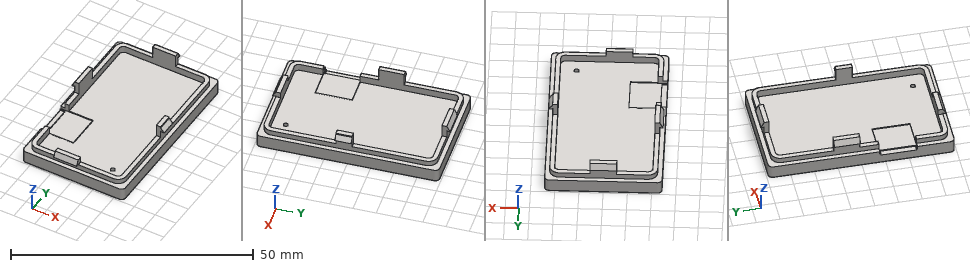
import cadquery as cq

LENGTH = 39.25
WIDTH = 24.25
HEIGHT = 6.95
BASE_HEIGHT = 2.9
BASE_CORNER_RADIUS = 1.0
FLOOR_Z = 2.47

RIM_MARGIN = 1.0
RIM_WALL = 1.02
RIM_HEIGHT = 1.18
RIM_CORNER_RADIUS = 2.0
RIM_TOP_Z = BASE_HEIGHT + RIM_HEIGHT
RIM_HALF_WIDTH = WIDTH / 2 - RIM_MARGIN
RIM_HALF_LENGTH = LENGTH / 2 - RIM_MARGIN

CLIP_WIDTH = 5.5
NARROW_CLIP_WIDTH = 3.5
LOW_CLIP_TOP_Z = 5.38
LEFT_CLIP_Y = 3.0
RIGHT_CLIP_Y = -1.0
FRONT_CLIP_X = -1.95
BACK_CLIP_X = 0.0
HOOK_REACH = 0.7
TALL_HOOK_HEIGHT = 1.3
LOW_HOOK_HEIGHT = 1.18
RIGHT_HOOK_REACH = 0.85
RIGHT_HOOK_DROP = 0.27
RIGHT_HOOK_HEIGHT = TALL_HOOK_HEIGHT - RIGHT_HOOK_DROP

OPENING_Y = -7.77
POCKET_WIDTH = 7.95
POCKET_REACH = 7.7
POCKET_FLOOR_Z = 2.25
STEP_WIDTH = 7.5
STEP_REACH = 1.18
STEP_FLOOR_Z = 1.95

HOLE_X = 6.8
HOLE_Y = -14.75
HOLE_DIAMETER = 1.0


def rounded_block(width, length, radius, bottom_z, top_z):
    """Upright block centred on the Z axis with rounded vertical edges."""
    block = cq.Workplane("XY", origin=(0, 0, bottom_z)).rect(width, length).extrude(top_z - bottom_z)
    return block.edges("|Z").fillet(radius)


def clip(face_distance, offset, turn, width, top_z, hook_reach, hook_height, hook_drop=0.0):
    """Snap clip facing +X, shifted sideways along Y, then turned about Z to its side."""
    hook_top_z = top_z - hook_drop
    hook_bottom_z = hook_top_z - hook_height
    inner_face = face_distance - RIM_WALL
    outline = [
        (inner_face, FLOOR_Z),
        (face_distance, FLOOR_Z),
        (face_distance, hook_bottom_z),
        (face_distance + hook_reach, hook_bottom_z),
        (face_distance, hook_top_z),
    ]
    if hook_drop > 0:
        outline.append((face_distance, top_z))
    outline.append((inner_face, top_z))
    profile = cq.Workplane("XZ", origin=(0, offset, 0)).polyline(outline).close()
    return profile.extrude(width / 2, both=True).rotate((0, 0, 0), (0, 0, 1), turn)


def side_cut(width, reach, floor_z):
    """Box that opens the -X side, from floor_z up to the top of the rim."""
    height = RIM_TOP_Z - floor_z
    block = cq.Workplane("XY").box(reach, width, height, centered=(False, True, False))
    return block.translate((-WIDTH / 2, OPENING_Y, floor_z))


base = rounded_block(WIDTH, LENGTH, BASE_CORNER_RADIUS, 0, BASE_HEIGHT)
rim = rounded_block(2 * RIM_HALF_WIDTH, 2 * RIM_HALF_LENGTH, RIM_CORNER_RADIUS, FLOOR_Z, RIM_TOP_Z)
cavity = rounded_block(
    2 * (RIM_HALF_WIDTH - RIM_WALL),
    2 * (RIM_HALF_LENGTH - RIM_WALL),
    RIM_CORNER_RADIUS - RIM_WALL,
    FLOOR_Z,
    RIM_TOP_Z,
)
result = base.union(rim).cut(cavity)

right_clip = clip(
    RIM_HALF_WIDTH,
    RIGHT_CLIP_Y,
    0,
    NARROW_CLIP_WIDTH,
    HEIGHT,
    RIGHT_HOOK_REACH,
    RIGHT_HOOK_HEIGHT,
    RIGHT_HOOK_DROP,
)
back_clip = clip(RIM_HALF_LENGTH, -BACK_CLIP_X, 90, CLIP_WIDTH, HEIGHT, HOOK_REACH, TALL_HOOK_HEIGHT)
left_clip = clip(RIM_HALF_WIDTH, -LEFT_CLIP_Y, 180, CLIP_WIDTH, HEIGHT, HOOK_REACH, TALL_HOOK_HEIGHT)
front_clip = clip(RIM_HALF_LENGTH, FRONT_CLIP_X, 270, CLIP_WIDTH, LOW_CLIP_TOP_Z, HOOK_REACH, LOW_HOOK_HEIGHT)
for side_clip in (right_clip, back_clip, left_clip, front_clip):
    result = result.union(side_clip)

result = result.cut(side_cut(POCKET_WIDTH, POCKET_REACH, POCKET_FLOOR_Z))
result = result.cut(side_cut(STEP_WIDTH, STEP_REACH, STEP_FLOOR_Z))

pin_hole = cq.Workplane("XY").center(HOLE_X, HOLE_Y).circle(HOLE_DIAMETER / 2).extrude(FLOOR_Z)
result = result.cut(pin_hole)